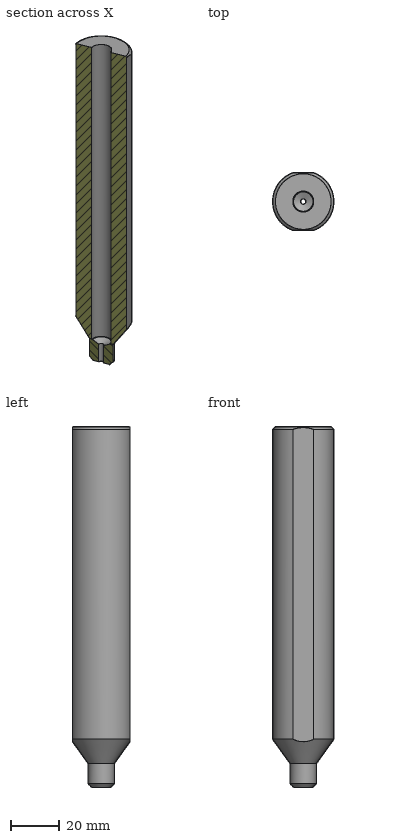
import cadquery as cq

total_length = 150.0
handle_radius = 12.8
across_flats = 24.0
rim_chamfer = 1.2
taper_length = 10.0
bore_radius = 4.4

tip_length = 10.0
tip_radius = 5.5
tip_chamfer = 1.6
outlet_radius = 1.0
funnel_mouth_radius = 4.0
funnel_depth = 1.5


def revolve_profile(points):
    """Solid of revolution about Z from (radius, height) points."""
    return cq.Workplane("XZ").polyline(points).close().revolve(360, (0, 0), (0, 1))


def make_handle():
    """Tapered tube with a chamfered rim and two flats facing -Y and +Y."""
    tube = revolve_profile([
        (bore_radius, tip_length),
        (tip_radius, tip_length),
        (handle_radius, tip_length + taper_length),
        (handle_radius, total_length - rim_chamfer),
        (handle_radius - rim_chamfer, total_length),
        (bore_radius, total_length),
    ])
    flat_limits = cq.Workplane("XY").rect(2 * handle_radius, across_flats).extrude(total_length)
    return tube.intersect(flat_limits)


def make_nozzle_tip():
    """Chamfered tip whose funnel leads the handle bore into a narrow outlet."""
    return revolve_profile([
        (outlet_radius, 0),
        (tip_radius - tip_chamfer, 0),
        (tip_radius, tip_chamfer),
        (tip_radius, tip_length),
        (funnel_mouth_radius, tip_length),
        (outlet_radius, tip_length - funnel_depth),
    ])


handle = make_handle()
nozzle_tip = make_nozzle_tip()

result = cq.Compound.makeCompound([handle.val(), nozzle_tip.val()])